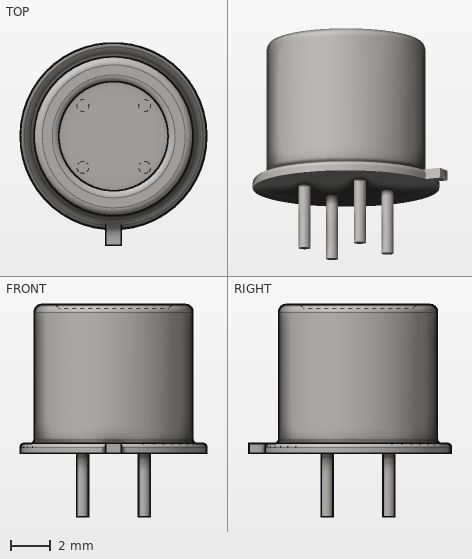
import cadquery as cq
import math

flange_diameter = 9.4
flange_thickness = 0.5
flange_edge_radius = 0.2

can_diameter = 8.0
total_height = 7.5
can_top_radius = 0.4
can_foot_radius = 0.2

window_diameter = 5.5
window_depth = 0.2
window_lip_radius = 0.4

tab_width = 0.8
tab_reach = 5.5

pin_diameter = 0.6
pin_length = 3.2
pin_circle_diameter = 4.4
pin_count = 4
first_pin_angle = 45.0


def make_header_and_can():
    """Flange and can as one revolved profile, with rounded edges and a coved foot."""
    flange_r = flange_diameter / 2
    can_r = can_diameter / 2
    arc_inset = 1 - math.cos(math.pi / 4)
    edge_mid = (
        flange_r - flange_edge_radius * arc_inset,
        flange_thickness - flange_edge_radius * arc_inset,
    )
    foot_mid = (
        can_r + can_foot_radius * arc_inset,
        flange_thickness + can_foot_radius * arc_inset,
    )
    top_mid = (
        can_r - can_top_radius * arc_inset,
        total_height - can_top_radius * arc_inset,
    )
    window_r = window_diameter / 2
    lip_angle = math.acos(1 - window_depth / window_lip_radius)
    lip_r = window_r + window_lip_radius * math.sin(lip_angle)
    lip_mid = (
        lip_r - window_lip_radius * math.sin(lip_angle / 2),
        total_height - window_lip_radius * (1 - math.cos(lip_angle / 2)),
    )
    return (
        cq.Workplane("XZ")
        .moveTo(0, 0)
        .lineTo(flange_r, 0)
        .lineTo(flange_r, flange_thickness - flange_edge_radius)
        .threePointArc(edge_mid, (flange_r - flange_edge_radius, flange_thickness))
        .lineTo(can_r + can_foot_radius, flange_thickness)
        .threePointArc(foot_mid, (can_r, flange_thickness + can_foot_radius))
        .lineTo(can_r, total_height - can_top_radius)
        .threePointArc(top_mid, (can_r - can_top_radius, total_height))
        .lineTo(lip_r, total_height)
        .threePointArc(lip_mid, (window_r, total_height - window_depth))
        .lineTo(0, total_height - window_depth)
        .close()
        .revolve(360, (0, 0, 0), (0, 1, 0))
    )


def make_tab():
    """Square-edged index tab on the -Y side, as thick as the flange."""
    inner_end = can_diameter / 2 + can_foot_radius
    length = tab_reach - inner_end
    return (
        cq.Workplane("XY")
        .center(0, -(inner_end + length / 2))
        .rect(tab_width, length)
        .extrude(flange_thickness)
    )


def make_pins():
    """Round leads below the flange, evenly spaced on the pin circle."""
    return (
        cq.Workplane("XY")
        .polarArray(pin_circle_diameter / 2, first_pin_angle, 360, pin_count)
        .circle(pin_diameter / 2)
        .extrude(-pin_length)
    )


result = make_header_and_can().union(make_tab()).union(make_pins())